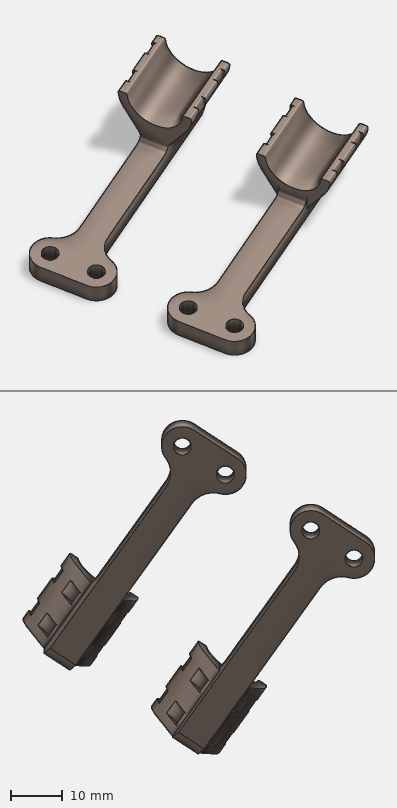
import cadquery as cq
import math

bracket_pitch = 29.95
cradle_axis_heights = [15.5, 13.0]

total_length = 54.0
arm_width = 6.0
arm_height = 4.0
arm_root_radius = 2.0
rear_chamfer = 2.0

ear_radius = 4.0
ear_offset = 5.0
mount_hole_diameter = 3.4
foot_blend_radius = 5.0

cradle_length = 16.0
cradle_inner_radius = 6.0
cradle_outer_radius = 8.0
flank_angle = 31.6
lip_radius = 0.5
cradle_front = total_length - cradle_length

strap_count = 2
strap_width = 3.0
strap_rear_margin = 2.0
strap_spacing = 8.0
notch_depth = 0.5
tunnel_roof_depth = 7.5
tunnel_floor_depth = 9.4
tunnel_roof_half_width = 2.85
tunnel_roof_slope = 29.5

half_arm = arm_width / 2
strap_starts = [
    total_length - strap_rear_margin - strap_width - index * strap_spacing for index in range(strap_count)
]


def make_foot_and_arm():
    """Flat plate: two round ears blended into the straight arm."""
    blend_x = half_arm + foot_blend_radius
    center_gap = ear_radius + foot_blend_radius
    blend_y = ear_radius + math.sqrt(center_gap**2 - (blend_x - ear_offset) ** 2)

    ear_share = ear_radius / center_gap
    meet_x = ear_offset + (blend_x - ear_offset) * ear_share
    meet_y = ear_radius + (blend_y - ear_radius) * ear_share

    meet_angle = math.atan2(meet_y - blend_y, meet_x - blend_x) % (2 * math.pi)
    middle_angle = (meet_angle + math.pi) / 2
    middle_x = blend_x + foot_blend_radius * math.cos(middle_angle)
    middle_y = blend_y + foot_blend_radius * math.sin(middle_angle)

    plate = (
        cq.Workplane("XY")
        .moveTo(-ear_offset, 0)
        .lineTo(ear_offset, 0)
        .threePointArc((ear_offset + ear_radius, ear_radius), (meet_x, meet_y))
        .threePointArc((middle_x, middle_y), (half_arm, blend_y))
        .lineTo(half_arm, cradle_front)
        .lineTo(-half_arm, cradle_front)
        .lineTo(-half_arm, blend_y)
        .threePointArc((-middle_x, middle_y), (-meet_x, meet_y))
        .threePointArc((-ear_offset - ear_radius, ear_radius), (-ear_offset, 0))
        .close()
        .extrude(arm_height)
    )
    mount_holes = (
        cq.Workplane("XY")
        .pushPoints([(-ear_offset, ear_radius), (ear_offset, ear_radius)])
        .circle(mount_hole_diameter / 2)
        .extrude(arm_height)
    )
    return plate.cut(mount_holes)


def extrude_along_y(outline, start, length):
    """Extrude an XZ outline from Y = start towards +Y."""
    return outline.extrude(-length).translate((0, start, 0))


def flank_x(depth):
    """Half width of the cradle where its flank lies this far below the axis."""
    angle = math.radians(flank_angle)
    return (cradle_outer_radius - depth * math.sin(angle)) / math.cos(angle)


def cradle_outline(axis_height):
    """Cross-section of the cradle, standing on the bottom plane."""
    angle = math.radians(flank_angle)
    tangent_x = cradle_outer_radius * math.cos(angle)
    tangent_z = axis_height - cradle_outer_radius * math.sin(angle)
    arc_x = cradle_outer_radius * math.cos(angle / 2)
    arc_z = axis_height - cradle_outer_radius * math.sin(angle / 2)
    root_depth = (cradle_outer_radius - half_arm * math.cos(angle)) / math.sin(angle)
    root_z = axis_height - root_depth
    return (
        cq.Workplane("XZ")
        .moveTo(-half_arm, 0)
        .lineTo(half_arm, 0)
        .lineTo(half_arm, root_z)
        .lineTo(tangent_x, tangent_z)
        .threePointArc((arc_x, arc_z), (cradle_outer_radius, axis_height))
        .lineTo(cradle_inner_radius, axis_height)
        .threePointArc((0, axis_height - cradle_inner_radius), (-cradle_inner_radius, axis_height))
        .lineTo(-cradle_outer_radius, axis_height)
        .threePointArc((-arc_x, arc_z), (-tangent_x, tangent_z))
        .lineTo(-half_arm, root_z)
        .close()
    )


def make_lip_notch(axis_height, start):
    """Cutter for one strap notch: flattens the right lip and keeps its upper corner rounded."""
    notch_x = cradle_outer_radius - notch_depth
    outline = (
        cq.Workplane("XZ")
        .moveTo(notch_x - lip_radius, axis_height)
        .radiusArc((notch_x, axis_height - lip_radius), lip_radius)
        .lineTo(notch_x, 0)
        .lineTo(cradle_outer_radius, 0)
        .lineTo(cradle_outer_radius, axis_height)
        .close()
    )
    return extrude_along_y(outline, start, strap_width)


def make_strap_tunnel(axis_height, start):
    """Tunnel from flank to flank, flat-floored, with a roof that slopes up on both sides."""
    outer_x = cradle_outer_radius
    roof_z = axis_height - tunnel_roof_depth
    floor_z = axis_height - tunnel_floor_depth
    roof_rise = (outer_x - tunnel_roof_half_width) * math.tan(math.radians(tunnel_roof_slope))
    outline = cq.Workplane("XZ").polyline(
        [
            (-outer_x, floor_z),
            (outer_x, floor_z),
            (outer_x, roof_z + roof_rise),
            (tunnel_roof_half_width, roof_z),
            (-tunnel_roof_half_width, roof_z),
            (-outer_x, roof_z + roof_rise),
        ]
    ).close()
    return extrude_along_y(outline, start, strap_width)


def make_cradle(axis_height):
    cradle = extrude_along_y(cradle_outline(axis_height), cradle_front, cradle_length)
    cradle = cradle.faces(">Y").edges("<Z").chamfer(rear_chamfer)
    cradle = cradle.faces(">Z").edges("|Y").fillet(lip_radius)
    for start in strap_starts:
        right_notch = make_lip_notch(axis_height, start)
        left_notch = right_notch.mirror("YZ")
        tunnel = make_strap_tunnel(axis_height, start)
        cradle = cradle.cut(right_notch).cut(left_notch).cut(tunnel)
    return cradle


def make_arm_root(axis_height):
    """Concave fillet between the arm top and the cradle front."""
    start = cradle_front - arm_root_radius
    top = arm_height + arm_root_radius
    flanks_start_above_arm = flank_x(axis_height - arm_height) < half_arm
    half_width = flank_x(axis_height - top) if flanks_start_above_arm else half_arm
    fillet = (
        cq.Workplane("YZ")
        .moveTo(start, arm_height)
        .lineTo(cradle_front, arm_height)
        .lineTo(cradle_front, top)
        .radiusArc((start, arm_height), arm_root_radius)
        .close()
        .extrude(half_width, both=True)
    )
    return fillet.intersect(extrude_along_y(cradle_outline(axis_height), start, arm_root_radius))


def make_bracket(axis_height):
    bracket = make_foot_and_arm().union(make_cradle(axis_height)).union(make_arm_root(axis_height))
    return bracket.clean()


brackets = [
    make_bracket(axis_height).translate((index * bracket_pitch, 0, 0)).val()
    for index, axis_height in enumerate(cradle_axis_heights)
]
result = cq.Compound.makeCompound(brackets)